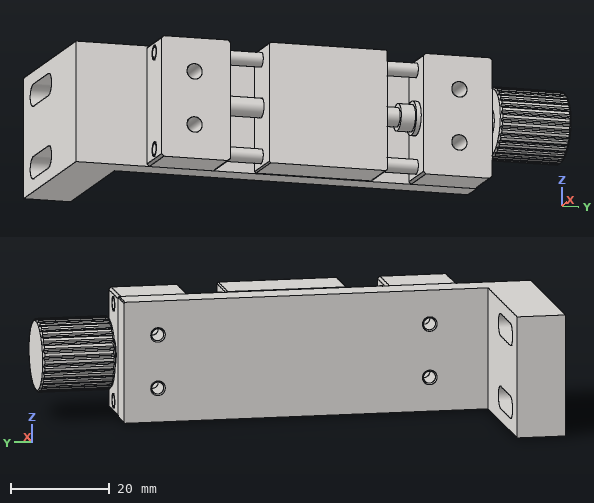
import cadquery as cq


bracket_height = 25.0
bracket_length = 85.0
foot_length = 36.0
foot_thickness = 10.0
wall_thickness = 6.0
slot_width = 4.6
slot_travel = 10.0
slot_center_x = 12.0
slot_spacing = 15.0
bracket_edge_chamfer = 0.2
mount_tap_diameter = 2.46
mount_mouth_diameter = 3.0
mount_outer_offset = 7.0

block_depth = 10.0
block_length = 14.6
block_chamfer = 0.5
lower_block_start = 15.0
mount_clearance_diameter = 3.2
mount_hole_spacing = 11.0

slider_gap = 0.6
slider_depth = 10.0
slider_length = 25.0
slider_start = 37.6
slider_chamfer = 0.3

rod_diameter = 3.0
rod_chamfer = 0.3
rod_spacing = 20.0

thread_diameter = 4.0
thread_end_y = 30.5
journal_diameter = 6.0
tail_diameter = 5.6
tail_length = 4.0
collar_diameter = 7.0
collar_thickness = 1.0
knob_diameter = 15.0
knob_length = 15.0
knob_gap = 1.0
knob_chamfer = 0.4
flute_count = 30
flute_depth = 0.2
flute_floor_width = 0.3
flute_mouth_width = 1.0

wall_face_x = foot_length
axis_x = wall_face_x + block_depth / 2
upper_block_start = bracket_length - block_length
upper_block_end = bracket_length
knob_start = bracket_length + knob_gap
knob_end = knob_start + knob_length
mount_rows = (lower_block_start + mount_outer_offset, upper_block_end - mount_outer_offset)
mount_heights = (-mount_hole_spacing / 2, mount_hole_spacing / 2)
rod_heights = (-rod_spacing / 2, rod_spacing / 2)


def cylinder_y(diameter, start_y, end_y, z=0.0):
    """Cylinder parallel to Y on the screw axis plane."""
    base = cq.Plane(origin=(axis_x, start_y, z), xDir=(1, 0, 0), normal=(0, 1, 0))
    return cq.Workplane(base).circle(diameter / 2).extrude(end_y - start_y)


def mount_hole(diameter, start_x, end_x, y, z):
    """Cylinder parallel to X that forms one mounting screw hole."""
    base = cq.Plane(origin=(start_x, y, z), xDir=(0, 1, 0), normal=(1, 0, 0))
    return cq.Workplane(base).circle(diameter / 2).extrude(end_x - start_x)


def mouth_cone(face_x, y, z):
    """45 degree cone that chamfers the mouth of one tapped hole."""
    depth = (mount_mouth_diameter - mount_tap_diameter) / 2
    return cq.Workplane(
        cq.Solid.makeCone(
            mount_mouth_diameter / 2,
            mount_tap_diameter / 2,
            depth,
            cq.Vector(face_x, y, z),
            cq.Vector(1, 0, 0),
        )
    )


def cut_rod_holes(body):
    """Cut both guide rod passages along the whole slide."""
    for z in rod_heights:
        body = body.cut(cylinder_y(rod_diameter, lower_block_start, upper_block_end, z))
    return body


def make_bracket():
    """L-shaped bracket with two slots in the foot and four tapped holes in the wall."""
    body = (
        cq.Workplane("XY", origin=(0, 0, -bracket_height / 2))
        .polyline([
            (0, 0),
            (foot_length, 0),
            (foot_length, bracket_length),
            (foot_length - wall_thickness, bracket_length),
            (foot_length - wall_thickness, foot_thickness),
            (0, foot_thickness),
        ])
        .close()
        .extrude(bracket_height)
    )
    body = body.faces(">Y").edges("|X").chamfer(bracket_edge_chamfer)
    slots = (
        cq.Workplane("XZ")
        .pushPoints([(slot_center_x, -slot_spacing / 2), (slot_center_x, slot_spacing / 2)])
        .slot2D(slot_travel + slot_width, slot_width)
        .extrude(-foot_thickness)
    )
    body = body.cut(slots)
    outer_face_x = wall_face_x - wall_thickness
    for y in mount_rows:
        for z in mount_heights:
            body = body.cut(mount_hole(mount_tap_diameter, outer_face_x, wall_face_x, y, z))
            body = body.cut(mouth_cone(outer_face_x, y, z))
    return body


def make_block(start_y, mount_y):
    """End block with chamfered top and bottom edges, screw clearance holes and rod holes."""
    body = (
        cq.Workplane("XY", origin=(wall_face_x, start_y, -bracket_height / 2))
        .box(block_depth, block_length, bracket_height, centered=False)
        .edges("|X")
        .chamfer(block_chamfer)
    )
    for z in mount_heights:
        body = body.cut(
            mount_hole(mount_clearance_diameter, wall_face_x, wall_face_x + block_depth, mount_y, z)
        )
    return cut_rod_holes(body)


def make_slider():
    """Moving block carried by the rods and driven by the screw."""
    body = (
        cq.Workplane("XY", origin=(wall_face_x + slider_gap, slider_start, -bracket_height / 2))
        .box(slider_depth, slider_length, bracket_height, centered=False)
        .edges("|X")
        .chamfer(slider_chamfer)
    )
    body = cut_rod_holes(body)
    return body.cut(cylinder_y(thread_diameter, slider_start, slider_start + slider_length))


def make_rod(z):
    """Guide rod, flush with the outer faces of both end blocks."""
    rod = cylinder_y(rod_diameter, lower_block_start, upper_block_end, z)
    return rod.faces("<Y or >Y").chamfer(rod_chamfer)


def make_knob():
    """Chamfered thumb knob with shallow flat-bottomed flutes all around its rim."""
    knob = cylinder_y(knob_diameter, knob_start, knob_end).faces("<Y or >Y").chamfer(knob_chamfer)
    floor_radius = knob_diameter / 2 - flute_depth
    rim_radius = knob_diameter / 2 + flute_depth
    rim_width = 2 * flute_mouth_width - flute_floor_width
    base = cq.Plane(origin=(axis_x, knob_start, 0), xDir=(1, 0, 0), normal=(0, 1, 0))
    flute = (
        cq.Workplane(base)
        .polyline([
            (floor_radius, -flute_floor_width / 2),
            (rim_radius, -rim_width / 2),
            (rim_radius, rim_width / 2),
            (floor_radius, flute_floor_width / 2),
        ])
        .close()
        .extrude(knob_length)
        .val()
    )
    axis_start = cq.Vector(axis_x, 0, 0)
    axis_end = cq.Vector(axis_x, 1, 0)
    flute_pitch = 360 / flute_count
    flutes = []
    for index in range(flute_count):
        flutes.append(flute.rotate(axis_start, axis_end, (index + 0.5) * flute_pitch))
    return knob.cut(cq.Workplane(cq.Compound.makeCompound(flutes)))


def make_screw():
    """Adjusting screw: thread, tail, retaining collar, journal and knob in one piece."""
    thread = cylinder_y(thread_diameter, thread_end_y, knob_start)
    tail = cylinder_y(tail_diameter, upper_block_start - tail_length, upper_block_start)
    collar = cylinder_y(collar_diameter, upper_block_start - collar_thickness, upper_block_start)
    journal = cylinder_y(journal_diameter, upper_block_start, knob_start)
    return thread.union(tail).union(collar).union(journal).union(make_knob())


bracket = make_bracket()
lower_block = make_block(lower_block_start, mount_rows[0])
upper_block = make_block(upper_block_start, mount_rows[1]).cut(
    cylinder_y(journal_diameter, upper_block_start, upper_block_end)
)
slider = make_slider()
rods = [make_rod(z) for z in rod_heights]
screw = make_screw()

result = cq.Compound.makeCompound([
    bracket.val(),
    lower_block.val(),
    upper_block.val(),
    slider.val(),
    *[rod.val() for rod in rods],
    screw.val(),
])